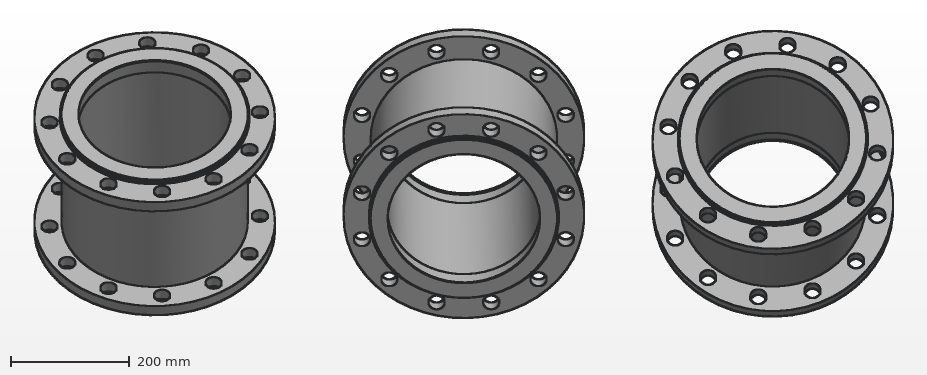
import cadquery as cq

overall_length = 285.0

pipe_diameter = 314.0
pipe_bore_diameter = 256.0
neck_diameter = 258.0
lip_height = 4.0

flange_diameter = 405.0
flange_thickness = 22.0
collar_diameter = 320.0
collar_height = 4.0
flange_height = flange_thickness + collar_height

bolt_hole_diameter = 27.0
bolt_hole_count = 12
bolt_circle_diameter = 355.0
bolt_pitch_angle = 360 / bolt_hole_count
first_bolt_angle = bolt_pitch_angle / 2

flange_base_z = overall_length / 2 - lip_height - flange_height
collar_base_z = flange_base_z + flange_thickness


def ring(outer_diameter, bore_diameter, base_z, height):
    """Plain ring on the Z axis, rising from base_z."""
    return (
        cq.Workplane("XY", origin=(0, 0, base_z))
        .circle(outer_diameter / 2)
        .circle(bore_diameter / 2)
        .extrude(height)
    )


def make_pipe():
    """Full-length pipe with a groove around each end where a flange is seated."""
    pipe = ring(pipe_diameter, pipe_bore_diameter, -overall_length / 2, overall_length)
    upper_groove = ring(flange_diameter, neck_diameter, flange_base_z, flange_height)
    lower_groove = upper_groove.mirror("XY")
    return pipe.cut(upper_groove).cut(lower_groove)


def make_flange():
    """Upper flange: drilled plate with the collar on top, fitted around the pipe neck."""
    plate = ring(flange_diameter, neck_diameter, flange_base_z, flange_thickness)
    collar = ring(collar_diameter, neck_diameter, collar_base_z, collar_height)
    bolt_holes = (
        cq.Workplane("XY", origin=(0, 0, flange_base_z))
        .polarArray(bolt_circle_diameter / 2, first_bolt_angle, 360, bolt_hole_count)
        .circle(bolt_hole_diameter / 2)
        .extrude(flange_thickness)
    )
    return plate.cut(bolt_holes).union(collar)


pipe = make_pipe()

flanges = []
for turn_angle in (0, 180):
    flange = make_flange().rotate((0, 0, 0), (1, 0, 0), turn_angle)
    flanges.append(flange.val())

result = cq.Compound.makeCompound([pipe.val(), *flanges])